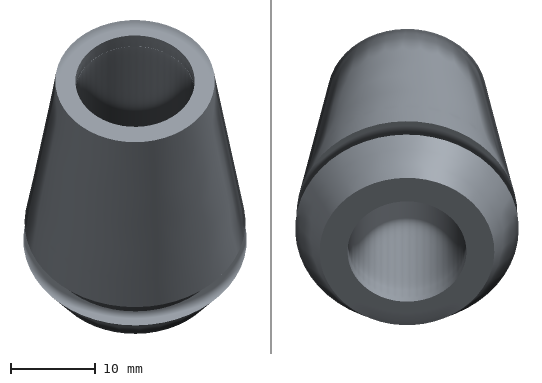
import cadquery as cq

total_height = 34.0
collar_height = 4.95
groove_width = 3.15
groove_top = collar_height + groove_width

bottom_diameter = 20.57
collar_diameter = 26.3
groove_diameter = 22.0
taper_large_diameter = 26.0
taper_small_diameter = 18.77

bore_diameter = 14.0
mouth_diameter = 14.05
mouth_depth = 2.0


def turned_body():
    """Flared collar, straight groove and long taper, revolved about Z."""
    profile = (
        cq.Workplane("YZ")
        .moveTo(0, 0)
        .lineTo(bottom_diameter / 2, 0)
        .lineTo(collar_diameter / 2, collar_height)
        .lineTo(groove_diameter / 2, collar_height)
        .lineTo(groove_diameter / 2, groove_top)
        .lineTo(taper_large_diameter / 2, groove_top)
        .lineTo(taper_small_diameter / 2, total_height)
        .lineTo(0, total_height)
        .close()
    )
    return profile.revolve(360, (0, 0, 0), (0, 1, 0))


def stepped_bore():
    """Material removed by the through bore and its wider mouth."""
    bore = cq.Workplane("XY").circle(bore_diameter / 2).extrude(total_height)
    mouth = (
        cq.Workplane("XY")
        .workplane(offset=total_height - mouth_depth)
        .circle(mouth_diameter / 2)
        .extrude(mouth_depth)
    )
    return bore.union(mouth)


result = turned_body().cut(stepped_bore())